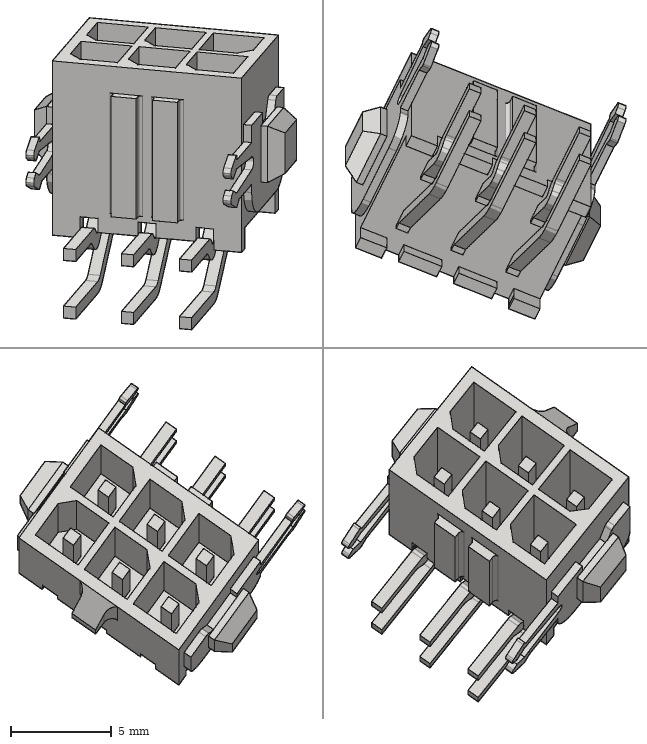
import cadquery as cq
import math


body_width = 9.8
body_depth = 6.86
body_height = 9.2
pitch = 3.0
column_x = [-pitch, 0, pitch]
front_row_y = 1.95
row_y = [front_row_y, front_row_y + pitch]

ceiling_z = 1.1
skirt_wall = 0.64
skirt_notch_width = 0.92
skirt_middle_z = 0.36
corner_leg_width = 1.43

pocket_size = 2.63
pocket_chamfer = 0.66
pocket_floor_z = 1.69

pin_size = 0.64
pin_tip_z = 7.2
pin_end_y = -3.56
front_tail_z = 0.0
rear_tail_z = -3.04
stub_depth = 0.91
stub_bottom_z = 0.78
tail_angle = 43.3
tail_slope = math.tan(math.radians(tail_angle))
slope_half_run = pin_size / 2 / math.sin(math.radians(tail_angle))
rear_outer_radius = 1.3
rear_inner_radius = 0.65

valley_y = 0.29
valley_outer_radius = 0.75
valley_inner_radius = 0.18
rise_foot_y = -0.62
rise_foot_radius = 0.32
rise_crest_y = -0.1
rise_crest_radius = 0.32

rib_width = 1.3
rib_height = 0.48
rib_center_x = 1.07
rib_bottom_z = 1.43
rib_top_z = 7.79
rib_root_height = 0.21
rib_root_flare = 0.18

latch_width = 1.45
latch_reach = 1.3
latch_bottom_z = 6.29
latch_nose_z = 7.36
latch_root_height = 0.6
latch_root_flare = 0.43

lug_z = 4.6
lug_y = 3.45
lug_neck = 2.0
lug_neck_length = 0.45
lug_head = 2.98
lug_end = 2.13
lug_end_x = 6.5
lug_taper = 0.79

clip_thickness = 0.42
clip_middle_x = (body_width + clip_thickness) / 2
clip_front_y = 0.42
clip_back_y = 6.41
clip_top_z = 6.62
clip_bottom_z = 1.64
clip_corner_radius = 1.43
clip_opening_y = 4.95
clip_opening_radius = 0.29
prong_half_height = 1.1
prong_gap_radius = 0.34
prong_end_gap = 0.64
barb_crown_y = -2.37
barb_crown_half_height = 1.42
barb_tip_y = -3.4
barb_tip_inner_half_height = 0.57
barb_tip_outer_half_height = 0.88
barb_inner_y = -2.99
barb_inner_half_height = 0.31
barb_tip_radius = 0.26
barb_crown_radius = 0.1
hook_step_y = -2.26
hook_ramp_y = -1.9


def block(x_range, y_range, z_range):
    """Box between two limits on each axis."""
    size = [limits[1] - limits[0] for limits in (x_range, y_range, z_range)]
    corner = (x_range[0], y_range[0], z_range[0])
    return cq.Workplane("XY").box(*size, centered=False).translate(corner)


def make_housing():
    """Solid block on a notched front and back skirt; the middle of each skirt is raised."""
    half_width = body_width / 2
    housing = block((-half_width, half_width), (0, body_depth), (ceiling_z, body_height))
    middle_half = half_width - corner_leg_width
    for wall_y in [0, body_depth - skirt_wall]:
        wall_range = (wall_y, wall_y + skirt_wall)
        wall = block((-half_width, half_width), wall_range, (0, ceiling_z))
        wall = wall.cut(block((-middle_half, middle_half), wall_range, (0, skirt_middle_z)))
        for x in column_x:
            notch_range = (x - skirt_notch_width / 2, x + skirt_notch_width / 2)
            wall = wall.cut(block(notch_range, wall_range, (0, ceiling_z)))
        housing = housing.union(wall)
    return housing


def make_pocket(x, y, chamfered_side):
    """Pocket with one cut front corner, at the left (-1) or at the right (1)."""
    depth = body_height - pocket_floor_z
    corner = ">X and <Y" if chamfered_side > 0 else "<X and <Y"
    pocket = cq.Workplane("XY").box(pocket_size, pocket_size, depth, centered=(True, True, False))
    pocket = pocket.edges("|Z").edges(corner).chamfer(pocket_chamfer)
    return pocket.translate((x, y, pocket_floor_z))


def rounded_outline(corners):
    """Closed YZ outline from (y, z, radius) corners; a zero radius keeps a corner sharp."""
    outline = cq.Workplane("YZ").moveTo(*corners[0][:2])
    for before, (y, z, radius), after in zip(corners, corners[1:], corners[2:]):
        if radius == 0:
            outline = outline.lineTo(y, z)
            continue
        corner = cq.Vector(y, z)
        back = (cq.Vector(*before[:2]) - corner).normalized()
        ahead = (cq.Vector(*after[:2]) - corner).normalized()
        half_angle = back.getAngle(ahead) / 2
        setback = radius / math.tan(half_angle)
        bulge = radius / math.sin(half_angle) - radius
        start = corner + back * setback
        middle = corner + (back + ahead).normalized() * bulge
        end = corner + ahead * setback
        outline = outline.lineTo(start.x, start.y).threePointArc((middle.x, middle.y), (end.x, end.y))
    return outline.lineTo(*corners[-1][:2]).close()


def rear_tail_corners(y):
    """Tail that slopes down from the ceiling at y and bends once into its level end."""
    tail_top_z = rear_tail_z + pin_size
    lower_y = y + slope_half_run
    upper_y = y - slope_half_run
    lower_bend_y = lower_y - (ceiling_z - rear_tail_z) / tail_slope
    upper_bend_y = upper_y - (ceiling_z - tail_top_z) / tail_slope
    return [
        (pin_end_y, rear_tail_z, 0),
        (lower_bend_y, rear_tail_z, rear_outer_radius),
        (lower_y, ceiling_z, 0),
        (upper_y, ceiling_z, 0),
        (upper_bend_y, tail_top_z, rear_inner_radius),
        (pin_end_y, tail_top_z, 0),
    ]


def front_tail_corners(y):
    """Tail that slopes down from the ceiling at y, dips below the wall and rises to its level end."""
    tail_top_z = front_tail_z + pin_size
    lower_y = y + slope_half_run
    upper_y = y - slope_half_run
    lower_valley_z = ceiling_z - (lower_y - valley_y) * tail_slope
    rise_slope = (front_tail_z - lower_valley_z) / (valley_y - rise_foot_y)
    slope_offset = rise_slope * rise_crest_y + tail_slope * upper_y
    upper_valley_y = (tail_top_z - ceiling_z + slope_offset) / (rise_slope + tail_slope)
    upper_valley_z = ceiling_z - (upper_y - upper_valley_y) * tail_slope
    return [
        (pin_end_y, front_tail_z, 0),
        (rise_foot_y, front_tail_z, rise_foot_radius),
        (valley_y, lower_valley_z, valley_outer_radius),
        (lower_y, ceiling_z, 0),
        (upper_y, ceiling_z, 0),
        (upper_valley_y, upper_valley_z, valley_inner_radius),
        (rise_crest_y, tail_top_z, rise_crest_radius),
        (pin_end_y, tail_top_z, 0),
    ]


def make_pin(x, y, tail_corners):
    """Contact with an upright post, a wider stub in the ceiling and a bent tail."""
    half = pin_size / 2
    back_y = y + stub_depth / 2
    post = block((-half, half), (y - half, y + half), (ceiling_z, pin_tip_z))
    stub = block((-half, half), (y - stub_depth / 2, back_y), (ceiling_z, pocket_floor_z))
    heel = block((-half, half), (y, back_y), (stub_bottom_z, ceiling_z))
    tail = rounded_outline(tail_corners).extrude(half, both=True)
    return post.union(stub).union(heel).union(tail).translate((x, 0, 0))


def make_ridge(width, reach, length, root_height, root_flare):
    """Upright ridge on a wall along X; its sides flare into the wall with tangent arcs."""
    half_ridge = (
        cq.Workplane("XY")
        .moveTo(0, reach)
        .lineTo(width / 2, reach)
        .lineTo(width / 2, root_height)
        .tangentArcPoint((width / 2 + root_flare, 0), relative=False)
        .lineTo(0, 0)
        .close()
        .extrude(length)
    )
    return half_ridge.union(half_ridge.mirror("YZ"))


def make_rib():
    """Keying rib that stands out from the front wall."""
    rib = make_ridge(rib_width, rib_height, rib_top_z - rib_bottom_z, rib_root_height, rib_root_flare)
    return rib.mirror("XZ").translate((0, 0, rib_bottom_z))


def make_latch():
    """Ramp that is flared into the back wall at both sides and below."""
    ridge = make_ridge(latch_width, latch_reach, body_height, latch_root_height, latch_root_flare)
    foot_z = latch_bottom_z - latch_root_height
    inset = latch_root_height * (1 - math.sqrt(0.5))
    profile = (
        cq.Workplane("YZ")
        .moveTo(0, body_height)
        .lineTo(latch_reach, latch_nose_z)
        .lineTo(latch_reach, latch_bottom_z)
        .lineTo(latch_root_height, latch_bottom_z)
        .threePointArc((inset, latch_bottom_z - inset), (0, foot_z))
        .close()
        .extrude(body_width / 2, both=True)
    )
    return ridge.intersect(profile).translate((0, body_depth, 0))


def square_bar(x_range, side):
    """Square bar along X on the lug axis."""
    y_range = (lug_y - side / 2, lug_y + side / 2)
    z_range = (lug_z - side / 2, lug_z + side / 2)
    return block(x_range, y_range, z_range)


def make_lug():
    """Lug on the right side: square neck, wider square head and a tapered end."""
    neck_x = body_width / 2
    head_x = neck_x + lug_neck_length
    taper_x = lug_end_x - lug_taper
    neck = square_bar((neck_x, head_x), lug_neck)
    head = square_bar((head_x, taper_x), lug_head)
    end = (
        cq.Workplane("YZ", origin=(taper_x, lug_y, lug_z))
        .rect(lug_head, lug_head)
        .workplane(offset=lug_taper)
        .rect(lug_end, lug_end)
        .loft(ruled=True)
    )
    return neck.union(head).union(end)


def extrude_clip(points):
    """Sheet on the right side wall from a (y, z) outline."""
    side_wall = cq.Workplane("YZ", origin=(body_width / 2, 0, 0))
    return side_wall.polyline(points).close().extrude(clip_thickness)


def make_prong(side, heel_y):
    """Upper (1) or lower (-1) prong with a barb; its outer barb face starts at heel_y."""
    outline = [
        (clip_front_y, prong_gap_radius),
        (barb_crown_y, prong_end_gap),
        (barb_inner_y, barb_inner_half_height),
        (barb_tip_y, barb_tip_inner_half_height),
        (barb_tip_y, barb_tip_outer_half_height),
        (barb_crown_y, barb_crown_half_height),
        (heel_y, prong_half_height),
        (clip_front_y, prong_half_height),
    ]
    prong = extrude_clip([(y, lug_z + side * height) for y, height in outline])
    prong = prong.edges("|X").edges("<Y").fillet(barb_tip_radius)
    crown = (clip_middle_x, barb_crown_y, lug_z + side * barb_crown_half_height)
    return prong.edges(cq.selectors.NearestToPointSelector(crown)).fillet(barb_crown_radius)


def make_clip():
    """Clip with a plate, a top opening around the lug neck and two barbed prongs."""
    plate = extrude_clip([
        (clip_front_y, clip_bottom_z),
        (clip_back_y, clip_bottom_z),
        (clip_back_y, clip_top_z),
        (clip_front_y, clip_top_z),
    ])
    plate = plate.edges("|X and <Z").fillet(clip_corner_radius)
    neck_front_y = lug_y - lug_neck / 2
    neck_back_y = lug_y + lug_neck / 2
    neck_top_z = lug_z + lug_neck / 2
    opening = extrude_clip([
        (neck_front_y, lug_z - lug_neck / 2),
        (neck_back_y, lug_z - lug_neck / 2),
        (neck_back_y, neck_top_z),
        (clip_opening_y, clip_top_z),
        (neck_front_y, clip_top_z),
    ])
    gap_end = (
        cq.Workplane("YZ", origin=(body_width / 2, clip_front_y, lug_z))
        .circle(prong_gap_radius)
        .extrude(clip_thickness)
    )
    plate = plate.cut(opening)
    rim_corner = (clip_middle_x, clip_opening_y, clip_top_z)
    plate = plate.edges(cq.selectors.NearestToPointSelector(rim_corner)).fillet(clip_opening_radius)
    plate = plate.cut(gap_end)
    return plate.union(make_prong(1, hook_step_y)).union(make_prong(-1, hook_ramp_y))


result = make_housing()

for y in row_y:
    for x in column_x:
        is_key_pocket = x == column_x[-1] and y == row_y[-1]
        result = result.cut(make_pocket(x, y, 1 if is_key_pocket else -1))

front_y, rear_y = row_y
for x in column_x:
    result = result.union(make_pin(x, front_y, front_tail_corners(front_y)))
    result = result.union(make_pin(x, rear_y, rear_tail_corners(rear_y)))

for x in [-rib_center_x, rib_center_x]:
    result = result.union(make_rib().translate((x, 0, 0)))

result = result.union(make_latch())

side_parts = make_lug().union(make_clip())
result = result.union(side_parts).union(side_parts.mirror("YZ"))